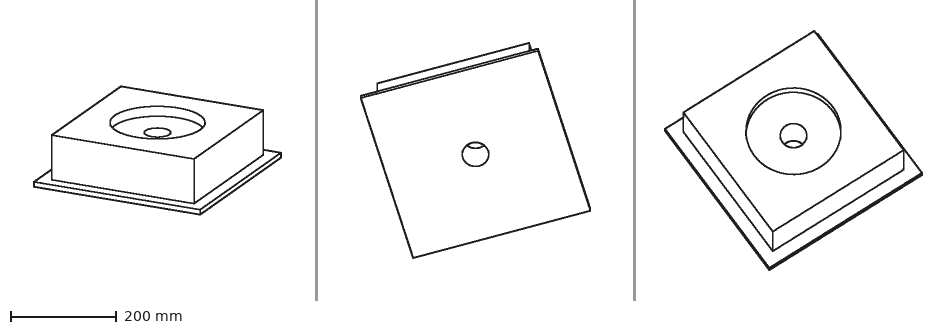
import cadquery as cq

flange_side = 350.0
flange_thickness = 10.0
block_side = 300.0
total_height = 100.0
recess_diameter = 180.0
recess_depth = 20.0
bore_diameter = 50.0

block_height = total_height - flange_thickness

flange = cq.Workplane("XY").box(
    flange_side, flange_side, flange_thickness, centered=(True, True, False)
)

body = (
    flange.faces(">Z").workplane()
    .rect(block_side, block_side)
    .extrude(block_height)
)

result = (
    body.faces(">Z").workplane()
    .cboreHole(bore_diameter, recess_diameter, recess_depth)
)